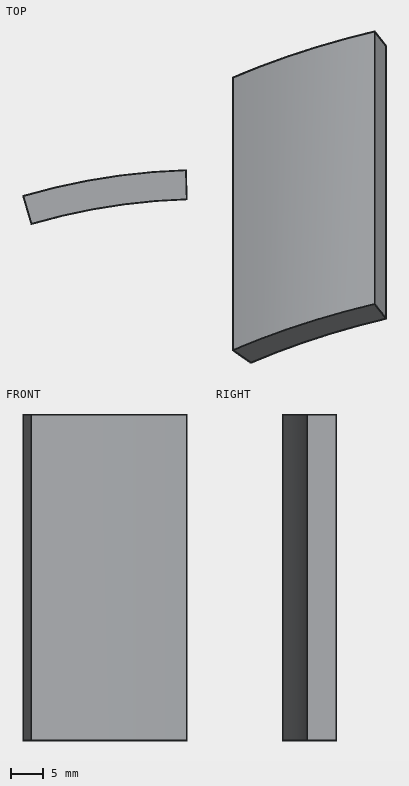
import cadquery as cq
import math

height = 50.0
outer_radius = 99.0
wall_thickness = 4.5
left_end_angle = 16.351
right_end_angle = 1.668

inner_radius = outer_radius - wall_thickness
middle_angle = (left_end_angle + right_end_angle) / 2


def arc_point(radius, angle):
    """Point on a circle about the arc centre, at an angle from +Y towards -X."""
    return (-radius * math.sin(math.radians(angle)), radius * math.cos(math.radians(angle)))


def curved_plate():
    """Segment of a cylindrical wall, extruded upwards along Z."""
    return (
        cq.Workplane("XY")
        .moveTo(*arc_point(outer_radius, left_end_angle))
        .threePointArc(arc_point(outer_radius, middle_angle), arc_point(outer_radius, right_end_angle))
        .lineTo(*arc_point(inner_radius, right_end_angle))
        .threePointArc(arc_point(inner_radius, middle_angle), arc_point(inner_radius, left_end_angle))
        .close()
        .extrude(height)
    )


result = curved_plate()